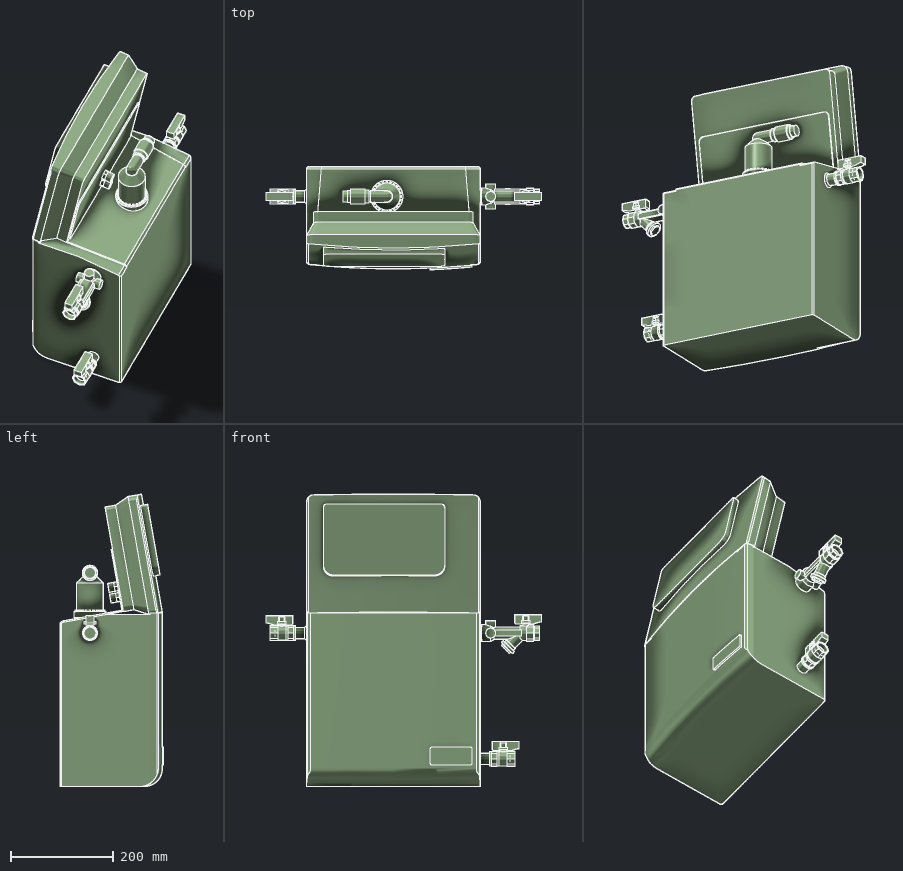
import cadquery as cq
import math

body_width = 340.0
body_half = body_width / 2
side_depth = 176.0
back_height = 320.0
shoulder_depth = 91.0
shoulder_height = 336.4
front_top = 339.5
back_chamfer = 3.0
toe_radius = 35.0
facet_end_half = 168.0
facet_end_depth = 189.0
bulge_half = 162.0
bulge_sag = 8.0
bulge_radius = (bulge_half**2 + bulge_sag**2) / (2 * bulge_sag)

plate_left = 72.0
plate_right = 153.7
plate_bottom = 42.2
plate_top = 77.0
plate_proud = 3.5
plate_corner = 3.0
overall_depth = 202.0
plate_left_drop = bulge_radius - math.sqrt(bulge_radius**2 - plate_left**2)
front_depth = overall_depth - plate_proud + plate_left_drop

cover_thickness = 3.0
cover_back_half = 140.8
cover_front_half = 151.0
cover_front_depth = 126.0
cover_bevel = 5.0
cover_slope = (shoulder_height - back_height) / shoulder_depth

head_tilt = 10.0
head_foot_height = 341.0
overall_height = 571.84
head_length = (overall_height - head_foot_height) / math.cos(math.radians(head_tilt))
shell_back = 27.0
shell_edge = 9.0
shell_edge_half = 166.5
shell_side = 12.0
shell_top_corner = 14.0
shell_bottom_corner = 6.0
taper_back = 54.0
rear_half = 156.0
rear_bottom = 14.0
rear_top = 222.0
rear_corner = 10.0
rear_depth = 75.0
lid_thickness = 2.5
lid_half = 146.0
lid_bottom = 16.0
lid_top = 138.0
window_left = -137.0
window_right = 100.5
window_bottom = 72.3
window_top = 212.8
window_proud = 8.3
window_root = 12.0
window_top_corner = 6.0
window_bottom_corner = 20.0
gland_radius = 9.0
gland_length = 21.0
gland_nut_length = 9.0
gland_heights = (65.0, 43.6)

pipe_depth = 58.4
pipe_height = 300.0
drain_height = 54.1
left_valve_end = -241.8
drain_valve_end = 238.2
overlap = 5.0

valve_radius = 14.8
valve_bore_radius = 11.6
valve_bore_depth = 10.0
valve_hex_end = 16.4
valve_ball_end = 31.3
valve_ring_end = 35.6
valve_inner_end = 46.2
valve_nut_end = 50.5
groove_width = 0.8
groove_depth = 0.8
valve_pipe_radius = 11.4
wall_flange_length = 3.5
wall_flange_radius = 14.5

lever_length = 52.8
lever_width = 15.8
lever_top = 34.0
lever_tip_bottom = 19.6
lever_base = 15.5
lever_tip_flat = 3.0
lever_slope_end = 16.5
lever_stem_offset = 31.2
lever_overhang = 7.7
lever_roof = 3.0
lever_corner = 2.5
slot_width = 11.0
stem_radius = 4.5
bonnet_radius = 11.5
bonnet_bottom = 18.2
bonnet_top = 22.5
neck_radius = 5.5

cross_start = 172.6
cross_centre = 190.1
cross_radius = 16.8
cross_cone_end = 197.0
cross_stub_radius = 9.6
cross_stub_reach = 24.6
strainer_radius = 12.2
strainer_flat_half = 15.0
strainer_flat_height = 11.4
inlet_body_start = 250.0
inlet_step = 260.0
inlet_nut_start = 274.0
inlet_end = 285.7
inlet_small_radius = 14.6
inlet_large_radius = 16.2
inlet_nut_radius = 14.2
inlet_lever_tip = 289.9
inlet_lever_lift = 2.0
leg_root = 251.2
leg_radius = 11.2
leg_length = 36.0
leg_step = 30.5
leg_step_radius = 12.2
leg_flange_radius = 15.6
leg_flange_end = 41.5
leg_plug_radius = 11.2
leg_end = 45.5
leg_angle = 45.0

bottle_x = -13.0
bottle_radius = 26.4
bottle_top = 398.0
collar_radius = 31.5
collar_bottom = 330.0
collar_top = 342.0
knurl_top = 345.0
knurl_radius = 29.0
knurl_teeth = 24
knurl_width = 3.0
knurl_length = 4.0
outlet_height = 417.7
outlet_radius = 11.4
dome_top = 413.0
outlet_steps = (
    (-45.3, outlet_radius),
    (-47.5, 9.8),
    (-50.5, 13.2),
    (-56.0, 13.2),
    (-83.9, 15.0),
    (-89.7, 12.2),
    (-98.9, 10.7),
)


def x_rod(start, end, radius, height=0.0, depth=0.0):
    """Cylinder along X."""
    rod = cq.Workplane("YZ", origin=(start, -depth, height))
    return rod.circle(radius).extrude(end - start)


def x_octagon(start, end, radius):
    """Octagonal bar along X with corners at the top and the front."""
    return cq.Workplane("YZ", origin=(start, 0, 0)).polygon(8, 2 * radius).extrude(end - start)


def rounded_panel(left, right, bottom, top, back, front, top_corner, bottom_corner):
    """Upright panel in head coordinates with separate top and bottom corner radii."""
    blank = (
        cq.Workplane("XY", origin=(0, 0, back))
        .moveTo((left + right) / 2, (bottom + top) / 2)
        .rect(right - left, top - bottom)
        .extrude(front - back)
    )
    return blank.edges("|Z and >Y").fillet(top_corner).edges("|Z and <Y").fillet(bottom_corner)


def body_plan(bottom, top):
    """Prism over the cabinet's plan outline."""
    return (
        cq.Workplane("XY", origin=(0, 0, bottom))
        .moveTo(-body_half, 0)
        .lineTo(-body_half, -side_depth)
        .lineTo(-facet_end_half, -facet_end_depth)
        .lineTo(-bulge_half, -front_depth + bulge_sag)
        .threePointArc((0, -front_depth), (bulge_half, -front_depth + bulge_sag))
        .lineTo(facet_end_half, -facet_end_depth)
        .lineTo(body_half, -side_depth)
        .lineTo(body_half, 0)
        .close()
        .extrude(top - bottom)
    )


def make_body():
    prism = body_plan(0, front_top).edges("|Z and >Y").chamfer(back_chamfer)
    side_outline = (
        cq.Workplane("YZ", origin=(-body_half, 0, 0))
        .lineTo(0, back_height - cover_thickness)
        .lineTo(-cover_bevel, back_height + cover_bevel * cover_slope)
        .lineTo(-shoulder_depth, shoulder_height)
        .lineTo(-side_depth, shoulder_height)
        .lineTo(-side_depth, front_top)
        .lineTo(-front_depth, front_top)
        .lineTo(-front_depth, 0)
        .close()
        .extrude(body_width)
    )
    return prism.intersect(side_outline).intersect(make_toe_envelope())


def make_toe_envelope():
    """Ring around the centre of the front curve whose lower outer edge is the rounded toe."""
    bulge_centre = bulge_radius - front_depth
    arc_inset = toe_radius * (1 - math.sqrt(0.5))
    return (
        cq.Workplane("YZ")
        .moveTo(-front_depth, front_top)
        .lineTo(-front_depth, toe_radius)
        .threePointArc((-front_depth + arc_inset, arc_inset), (-front_depth + toe_radius, 0))
        .lineTo(front_depth, 0)
        .lineTo(front_depth, front_top)
        .close()
        .revolve(360, (bulge_centre, 0, 0), (bulge_centre, 1, 0))
    )


def make_name_plate():
    """Plate that follows the curve of the front face."""
    width = plate_right - plate_left
    height = plate_top - plate_bottom
    blank = (
        cq.Workplane("XZ", origin=((plate_left + plate_right) / 2, 0, (plate_bottom + plate_top) / 2))
        .workplane(offset=side_depth)
        .rect(width, height)
        .extrude(overall_depth - side_depth + plate_proud)
        .edges("|Y")
        .fillet(plate_corner)
    )
    return blank.intersect(body_plan(0, front_top).translate((0, -plate_proud, 0)))


def make_cover():
    """Thin sloping plate, wider toward the front, reaching to the back of the head."""
    front_rise = cover_front_depth * cover_slope
    section = (
        cq.Workplane("YZ", origin=(-body_half, 0, 0))
        .moveTo(0, back_height - overlap)
        .lineTo(0, back_height)
        .lineTo(-cover_bevel, back_height + cover_bevel * cover_slope + cover_thickness)
        .lineTo(-cover_front_depth, back_height + front_rise + cover_thickness)
        .lineTo(-cover_front_depth, back_height + front_rise)
        .lineTo(-shoulder_depth, shoulder_height)
        .lineTo(-shoulder_depth, shoulder_height - overlap)
        .close()
        .extrude(body_width)
    )
    plan = (
        cq.Workplane("XY")
        .moveTo(-cover_back_half, 0)
        .lineTo(cover_back_half, 0)
        .lineTo(cover_front_half, -cover_front_depth)
        .lineTo(-cover_front_half, -cover_front_depth)
        .close()
        .extrude(overall_height)
    )
    return section.intersect(plan)


def make_shell():
    """Front shell of the head: curved front inside a rounded outline."""
    plan = (
        cq.Workplane("XZ")
        .moveTo(-body_half, -shell_back)
        .lineTo(-body_half, -shell_side)
        .lineTo(-shell_edge_half, -shell_edge)
        .threePointArc((0, 0), (shell_edge_half, -shell_edge))
        .lineTo(body_half, -shell_side)
        .lineTo(body_half, -shell_back)
        .close()
        .extrude(-head_length)
    )
    outline = rounded_panel(
        -body_half, body_half, 0, head_length, -shell_back, 0, shell_top_corner, shell_bottom_corner
    )
    return plan.intersect(outline)


def make_taper():
    """Frustum between the shell and the smaller rear box."""
    rear_length = rear_top - rear_bottom
    rear_centre = (rear_top + rear_bottom) / 2
    front_face = cq.Sketch().rect(body_width, head_length).vertices().fillet(shell_top_corner)
    rear_face = cq.Sketch().rect(2 * rear_half, rear_length).vertices().fillet(rear_corner)
    return cq.Workplane("XY").placeSketch(
        front_face.moved(cq.Location(cq.Vector(0, head_length / 2, -shell_back))),
        rear_face.moved(cq.Location(cq.Vector(0, rear_centre, -taper_back))),
    ).loft()


def make_gland(height):
    """Cable gland on the back of the head: stub and hexagonal nut."""
    base = cq.Workplane("XY", origin=(0, height, -rear_depth))
    stub = base.circle(gland_radius).extrude(-gland_length)
    nut = base.polygon(6, 2 * gland_radius / math.cos(math.pi / 6)).extrude(-gland_nut_length)
    return stub.union(nut)


def make_head():
    """Head built with its front facing +Z and its height along +Y, then tilted into place."""
    head = make_shell().union(make_taper())
    rear_box = rounded_panel(
        -rear_half, rear_half, rear_bottom, rear_top, -rear_depth, -taper_back, rear_corner, rear_corner
    )
    lid = rounded_panel(
        -lid_half, lid_half, lid_bottom, lid_top,
        -rear_depth - lid_thickness, -rear_depth, rear_corner, rear_corner,
    )
    window = rounded_panel(
        window_left, window_right, window_bottom, window_top,
        -window_root, window_proud, window_top_corner, window_bottom_corner,
    )
    head = head.union(rear_box).union(lid).union(window)
    for height in gland_heights:
        head = head.union(make_gland(height))
    tilt = math.radians(head_tilt)
    frame = cq.Plane(
        origin=(0, -front_depth, head_foot_height),
        xDir=(1, 0, 0),
        normal=(0, -math.cos(tilt), math.sin(tilt)),
    )
    return cq.Workplane("XY").newObject([head.val().moved(cq.Location(frame))])


def make_lever():
    """Valve lever with its tip at X = 0, plus stem, bonnet and neck above the valve axis."""
    lever = (
        cq.Workplane("XZ")
        .moveTo(0, lever_top)
        .lineTo(lever_length, lever_top)
        .lineTo(lever_length, lever_base + lever_corner)
        .lineTo(lever_length - lever_corner, lever_base)
        .lineTo(lever_slope_end, lever_base)
        .lineTo(lever_tip_flat, lever_tip_bottom)
        .lineTo(0, lever_tip_bottom)
        .close()
        .extrude(lever_width / 2, both=True)
    )
    slot = (
        cq.Workplane("XY", origin=(lever_stem_offset, 0, bonnet_bottom))
        .rect(slot_width, lever_width)
        .extrude(lever_top - lever_roof - bonnet_bottom)
    )
    axis = cq.Workplane("XY", origin=(lever_stem_offset, 0, 0))
    stem = axis.circle(stem_radius).extrude(lever_top - lever_roof)
    neck = axis.circle(neck_radius).extrude(bonnet_bottom)
    bonnet = axis.workplane(offset=bonnet_bottom).circle(bonnet_radius).extrude(bonnet_top - bonnet_bottom)
    return lever.cut(slot).union(stem).union(neck).union(bonnet)


def make_valve(pipe_end):
    """Ball valve along X with its open end at X = 0 and its pipe running to pipe_end."""
    valve = x_octagon(0, valve_hex_end, valve_radius)
    valve = valve.union(x_rod(valve_hex_end, valve_ring_end, valve_radius - groove_depth / 2))
    valve = valve.union(x_octagon(valve_ring_end, valve_inner_end, valve_radius))
    valve = valve.union(x_rod(valve_inner_end, valve_nut_end, valve_radius - groove_depth / 2))
    valve = valve.union(x_rod(valve_nut_end, pipe_end, valve_pipe_radius))
    for position in (valve_ball_end, valve_inner_end):
        ring = x_rod(position, position + groove_width, valve_radius + groove_depth)
        ring = ring.cut(x_rod(position, position + groove_width, valve_radius - 2 * groove_depth))
        valve = valve.cut(ring)
    valve = valve.union(make_lever().translate((-lever_overhang, 0, 0)))
    return valve.cut(x_rod(0, valve_bore_depth, valve_bore_radius))


def make_left_valve():
    wall = -body_half - left_valve_end
    flange = (
        cq.Workplane("YZ", origin=(wall - wall_flange_length, 0, 0))
        .circle(valve_pipe_radius)
        .workplane(offset=wall_flange_length)
        .circle(wall_flange_radius)
        .loft()
    )
    valve = make_valve(wall + overlap).union(flange)
    return valve.translate((left_valve_end, -pipe_depth, pipe_height))


def make_drain_valve():
    valve = make_valve(drain_valve_end - body_half + overlap)
    return valve.rotate((0, 0, 0), (0, 0, 1), 180).translate((drain_valve_end, -pipe_depth, drain_height))


def make_strainer_leg():
    """Angled strainer leg with flange and plug, pointing down and toward the cabinet."""
    leg = cq.Workplane("XY").circle(leg_radius).extrude(-leg_length)
    thick_end = cq.Workplane("XY", origin=(0, 0, -leg_step)).circle(leg_step_radius)
    flange = cq.Workplane("XY", origin=(0, 0, -leg_length)).circle(leg_flange_radius)
    plug = cq.Workplane("XY", origin=(0, 0, -leg_flange_end)).polygon(6, 2 * leg_plug_radius)
    leg = leg.union(thick_end.extrude(leg_step - leg_length))
    leg = leg.union(flange.extrude(leg_length - leg_flange_end))
    leg = leg.union(plug.extrude(leg_flange_end - leg_end))
    return leg.rotate((0, 0, 0), (0, 1, 0), leg_angle).translate((leg_root, 0, 0))


def make_inlet():
    """Cross, strainer and shut-off valve on the upper right side."""
    inlet = x_rod(body_half - overlap, cross_start, strainer_radius)
    inlet = inlet.union(x_rod(cross_start, cross_centre, cross_radius))
    cone = (
        cq.Workplane("YZ", origin=(cross_centre, 0, 0))
        .circle(cross_radius)
        .workplane(offset=cross_cone_end - cross_centre)
        .circle(strainer_radius)
        .loft()
    )
    top_stub = (
        cq.Workplane("XY", origin=(cross_centre, 0, 0))
        .circle(cross_stub_radius)
        .extrude(cross_stub_reach)
    )
    side_stubs = (
        cq.Workplane("XZ", origin=(cross_centre, 0, 0))
        .circle(cross_stub_radius)
        .extrude(cross_stub_reach, both=True)
    )
    inlet = inlet.union(cone).union(top_stub).union(side_stubs)
    strainer_length = inlet_body_start - cross_centre
    flats = cq.Workplane("XY", origin=((cross_centre + inlet_body_start) / 2, 0, 0)).box(
        strainer_length, 2 * strainer_flat_half, strainer_flat_height
    )
    inlet = inlet.union(x_rod(cross_centre, inlet_body_start, strainer_radius)).union(flats)
    inlet = inlet.union(make_strainer_leg())
    inlet = inlet.union(x_rod(inlet_body_start - overlap / 2, inlet_step, inlet_small_radius))
    inlet = inlet.union(x_octagon(inlet_step, inlet_nut_start, inlet_large_radius))
    inlet = inlet.union(x_octagon(inlet_nut_start, inlet_end, inlet_nut_radius))
    inlet = inlet.cut(x_rod(inlet_end - valve_bore_depth, inlet_end, valve_bore_radius))
    lever = make_lever().rotate((0, 0, 0), (0, 0, 1), 180).translate((inlet_lever_tip, 0, inlet_lever_lift))
    lever = lever.cut(x_rod(inlet_end - valve_bore_depth, inlet_end, valve_bore_radius))
    return inlet.union(lever).translate((0, -pipe_depth, pipe_height))


def make_bottle():
    """Filter bottle with knurled collar, conical shoulder and stepped outlet pipe."""
    axis = cq.Workplane("XY", origin=(bottle_x, -pipe_depth, collar_bottom))
    bottle = axis.circle(collar_radius).extrude(collar_top - collar_bottom)
    bottle = bottle.union(axis.circle(bottle_radius).extrude(bottle_top - collar_bottom))
    shoulder = (
        cq.Workplane("XY", origin=(bottle_x, -pipe_depth, bottle_top))
        .circle(bottle_radius)
        .workplane(offset=dome_top - bottle_top)
        .circle(outlet_radius)
        .loft()
    )
    knurl = (
        cq.Workplane("XY", origin=(bottle_x, -pipe_depth, collar_top))
        .polarArray(knurl_radius - knurl_length / 2, 0, 360, knurl_teeth)
        .rect(knurl_length, knurl_width)
        .extrude(knurl_top - collar_top)
    )
    bottle = bottle.union(shoulder).union(knurl)
    elbow = cq.Workplane("XY").sphere(outlet_radius).translate((bottle_x, -pipe_depth, outlet_height))
    bottle = bottle.union(elbow)
    start = bottle_x
    for end, radius in outlet_steps:
        bottle = bottle.union(x_rod(start, end, radius, outlet_height, pipe_depth))
        start = end
    return bottle


result = make_body()
for piece in (
    make_name_plate(),
    make_cover(),
    make_head(),
    make_bottle(),
    make_left_valve(),
    make_drain_valve(),
    make_inlet(),
):
    result = result.union(piece)